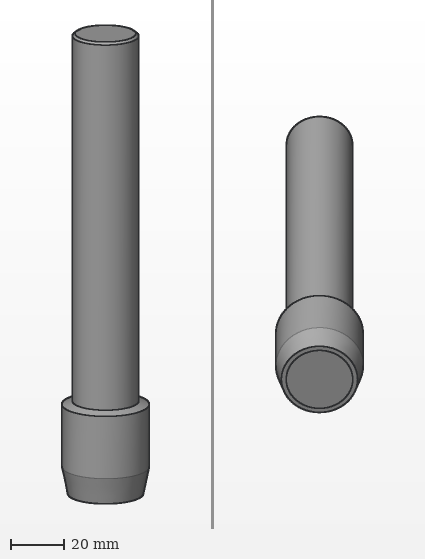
import cadquery as cq

total_length = 180.0
rod_diameter = 25.0
sleeve_diameter = 33.0

rod_chamfer_height = 0.9
rod_chamfer_inset = 1.0

sleeve_height = 36.2
shoulder_height = 35.0
taper_height = 10.6
sleeve_base_diameter = 28.6

rod_radius = rod_diameter / 2
sleeve_radius = sleeve_diameter / 2
sleeve_base_radius = sleeve_base_diameter / 2


def make_rod():
    """Full-length round rod with a chamfered top edge."""
    return (
        cq.Workplane("XZ")
        .lineTo(rod_radius, 0)
        .lineTo(rod_radius, total_length - rod_chamfer_height)
        .lineTo(rod_radius - rod_chamfer_inset, total_length)
        .lineTo(0, total_length)
        .close()
        .revolve(360, (0, 0, 0), (0, 1, 0))
    )


def make_sleeve():
    """Sleeve around the rod, with a conical shoulder and a tapered lower end."""
    return (
        cq.Workplane("XZ")
        .moveTo(rod_radius, 0)
        .lineTo(sleeve_base_radius, 0)
        .lineTo(sleeve_radius, taper_height)
        .lineTo(sleeve_radius, shoulder_height)
        .lineTo(rod_radius, sleeve_height)
        .close()
        .revolve(360, (0, 0, 0), (0, 1, 0))
    )


rod = make_rod()
sleeve = make_sleeve()

result = cq.Compound.makeCompound([rod.val(), sleeve.val()])